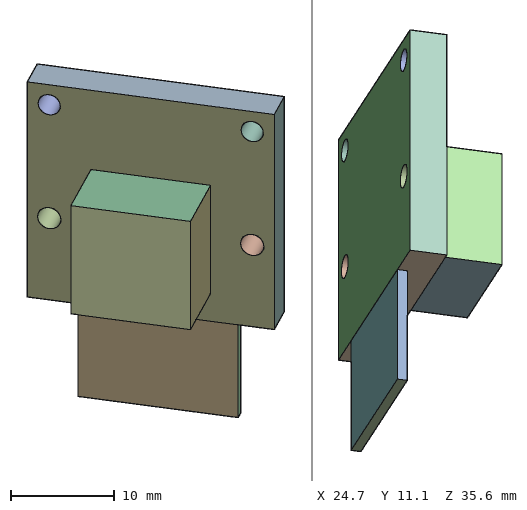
import cadquery as cq

board_width = 24.7
board_height = 23.78
board_thickness = 3.7

upper_hole_diameter = 2.2
lower_hole_diameter = 2.3
hole_side_inset = 2.2
upper_hole_drop = 2.2
lower_hole_drop = 14.75

camera_side = 11.95
camera_depth = 7.4
camera_top_drop = 8.75

total_height = 35.6
ribbon_width = 16.02
ribbon_thickness = 1.0
ribbon_length = total_height - board_height

hole_x = board_width / 2 - hole_side_inset


def plate(width, depth, height, center_x, front_y, top_z):
    """Rectangular block placed by its X centre, front face and top edge."""
    return (
        cq.Workplane("XY")
        .box(width, depth, height, centered=(True, False, False))
        .translate((center_x, front_y, top_z - height))
    )


def hole_pair(diameter, drop):
    """Two cylinders through the board, mirrored about its X centre."""
    return (
        cq.Workplane("XZ")
        .pushPoints([(-hole_x, -drop), (hole_x, -drop)])
        .circle(diameter / 2)
        .extrude(-board_thickness)
    )


def make_camera_board():
    """Board with its mounting holes and the camera block in one piece."""
    board = plate(board_width, board_thickness, board_height, 0, 0, 0)
    camera = plate(camera_side, camera_depth, camera_side, 0, -camera_depth, -camera_top_drop)
    return (
        board
        .cut(hole_pair(upper_hole_diameter, upper_hole_drop))
        .cut(hole_pair(lower_hole_diameter, lower_hole_drop))
        .union(camera)
    )


def make_ribbon():
    """Flat cable whose top edge meets the underside of the board."""
    front_y = board_thickness - ribbon_thickness
    return plate(ribbon_width, ribbon_thickness, ribbon_length, 0, front_y, -board_height)


camera_board = make_camera_board()
ribbon = make_ribbon()

result = cq.Compound.makeCompound([camera_board.val(), ribbon.val()])